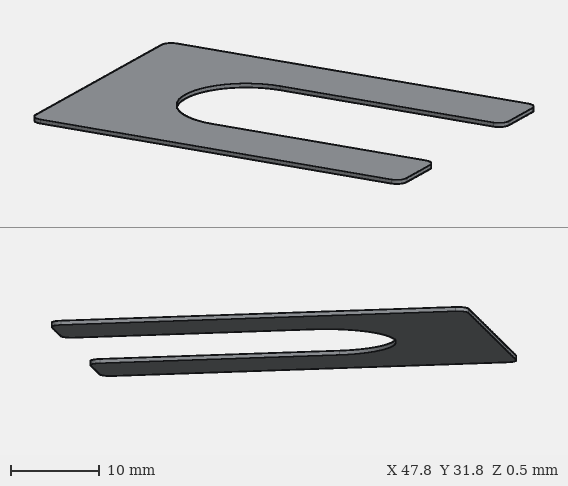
import cadquery as cq

length = 47.75
width = 31.75
thickness = 0.5

slot_width = 15.75
slot_depth = 36.58

corner_radius = 1.27


def make_plate():
    """Flat plate centred on the origin in plan, with its base at Z = 0."""
    return cq.Workplane("XY").box(length, width, thickness, centered=(True, True, False))


def make_slot():
    """Slot running from its round end out through the +X edge."""
    slot_radius = slot_width / 2
    mouth_x = length / 2
    closed_end_x = mouth_x - slot_depth
    arc_center_x = closed_end_x + slot_radius
    return (
        cq.Workplane("XY")
        .moveTo(mouth_x, slot_radius)
        .lineTo(arc_center_x, slot_radius)
        .threePointArc((closed_end_x, 0), (arc_center_x, -slot_radius))
        .lineTo(mouth_x, -slot_radius)
        .close()
        .extrude(thickness)
    )


def round_corners(body):
    """Fillet every vertical corner edge on the -X and +X ends."""
    return body.edges("|Z and (<X or >X)").fillet(corner_radius)


slotted_plate = make_plate().cut(make_slot())
result = round_corners(slotted_plate)